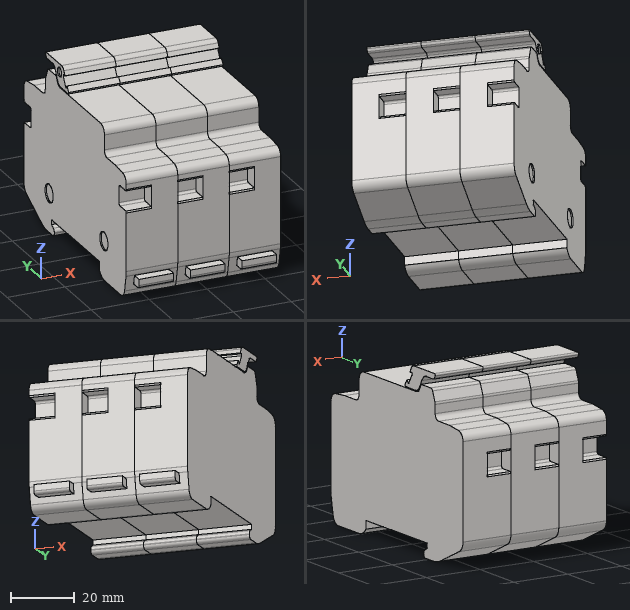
import cadquery as cq
import math


TOTAL_WIDTH = 53.4
POLE_COUNT = 3
POLE_WIDTH = TOTAL_WIDTH / POLE_COUNT

LATCH_REACH = 3.25
OVERALL_DEPTH = 81.2
HOUSING_DEPTH = OVERALL_DEPTH - LATCH_REACH
TOTAL_HEIGHT = 61.0
DECK_HEIGHT = 52.95
HUMP_TOP = 55.9
HUMP_BACK = 61.55
BACK_SHELF_HEIGHT = 46.0
BACK_SHELF_DROP = 0.9
FRONT_SHELF_HEIGHT = 42.95
FRONT_SHELF_DROP = 0.65
FRONT_WALL_DEPTH = 16.6

RAIL_TOP = 5.1
RAIL_FRONT = 20.6
RAIL_BACK = 56.7
HOOK_TIP = 54.65

SLOT_WIDTH = 8.8
SLOT_DEPTH = 5.5
SLOT_BOTTOM = 30.4
SLOT_TOP = 37.3
SLOT_CORNER_RADIUS = 0.8
SLOT_MOUTH_FLARE = 0.6
SLOT_MOUTH_DEPTH = 0.25

RIVET_DIAMETER = 6.2
RIVET_HEIGHT = 13.5
RIVET_PLACES = (17.0, 58.6)
LEVER_HOLE_DIAMETER = 3.2
LEVER_HOLE_Y = 50.75
LEVER_HOLE_Z = 58.1
RECESS_DEPTH = 0.5

LATCH_WIDTH = 11.9
LATCH_BOTTOM = 4.6
LATCH_TOP = 7.8
LATCH_ROOT = 2.4
LATCH_EDGE_RADIUS = 1.05

LEVER_GAP = 0.3
LEVER_BOTTOM = DECK_HEIGHT + LEVER_GAP
FLAP_THICKNESS = 1.95
FLAP_BOTTOM = TOTAL_HEIGHT - FLAP_THICKNESS
LEVER_NOTCH_HEIGHT = 58.5

HOUSING_CORNERS = [
    (HOUSING_DEPTH, BACK_SHELF_HEIGHT - BACK_SHELF_DROP, 3.1),
    (69.9, BACK_SHELF_HEIGHT, 0),
    (HUMP_BACK, BACK_SHELF_HEIGHT, 2.0),
    (HUMP_BACK, 51.5, 2.0),
    (59.7, HUMP_TOP, 1.2),
    (53.3, HUMP_TOP, 0),
    (51.7, DECK_HEIGHT, 2.85),
    (FRONT_WALL_DEPTH, DECK_HEIGHT, 2.9),
    (FRONT_WALL_DEPTH, FRONT_SHELF_HEIGHT, 1.95),
    (8.0, FRONT_SHELF_HEIGHT, 0),
    (0, FRONT_SHELF_HEIGHT - FRONT_SHELF_DROP, 2.9),
    (0, 8.85, 8.9),
    (1.8, 0, 3.2),
    (19.1, 0, 5.0),
    (RAIL_FRONT, 2.3, 0),
    (RAIL_FRONT, RAIL_TOP, 0),
    (RAIL_BACK, RAIL_TOP, 0),
    (RAIL_BACK, 3.5, 0),
    (HOOK_TIP, 2.35, 1.5),
    (HOOK_TIP, 0, 1.3),
    (62.5, 0, 9.75),
    (HOUSING_DEPTH, 7.4, 3.9),
]

LEVER_CORNERS = [
    (61.95, TOTAL_HEIGHT, 0.5),
    (48.0, TOTAL_HEIGHT, 2.0),
    (46.6, LEVER_NOTCH_HEIGHT, 0),
    (47.8, LEVER_NOTCH_HEIGHT, 0),
    (47.8, 57.8, 0),
    (45.8, 54.6, 0),
    (45.0, 55.6, 0),
    (43.7, 53.9, 0),
    (44.0, LEVER_BOTTOM, 0),
    (51.6, LEVER_BOTTOM, 2.85),
    (53.6, 57.2, 0),
    (55.2, FLAP_BOTTOM, 1.6),
    (60.8, FLAP_BOTTOM, 0.8),
]


def toward(start, end, distance):
    """Point at a given distance from start on the way to end."""
    share = distance / math.dist(start, end)
    return tuple(a + (b - a) * share for a, b in zip(start, end))


def half_angle(before, corner, after):
    """Half of the inner angle at a corner."""
    first = math.atan2(before[1] - corner[1], before[0] - corner[0])
    second = math.atan2(after[1] - corner[1], after[0] - corner[0])
    return math.acos(math.cos(first - second)) / 2


def rounded_prism(corners, width):
    """Solid of the given width along X whose YZ outline has rounded corners (Y, Z, radius)."""
    points = [corner[:2] for corner in corners]
    outline = None
    for index, (y, z, radius) in enumerate(corners):
        corner = (y, z)
        before = points[index - 1]
        after = points[(index + 1) % len(points)]
        half = half_angle(before, corner, after)
        trim = radius / math.tan(half)
        start = toward(corner, before, trim) if radius else corner
        outline = cq.Workplane("YZ").moveTo(*start) if outline is None else outline.lineTo(*start)
        if radius:
            end = toward(corner, after, trim)
            chord_middle = tuple((a + b) / 2 for a, b in zip(start, end))
            arc_middle = toward(corner, chord_middle, radius / math.sin(half) - radius)
            outline = outline.threePointArc(arc_middle, end)
    return outline.close().extrude(width)


def side_recess(y, z, diameter):
    """Shallow round recess in the -X side."""
    return cq.Workplane("YZ").center(y, z).circle(diameter / 2).extrude(RECESS_DEPTH)


def terminal_slot():
    """Terminal slot in the front face, open to the -X side, with a flared mouth."""
    corners = [
        (0, SLOT_BOTTOM - SLOT_MOUTH_FLARE, 0),
        (SLOT_MOUTH_DEPTH, SLOT_BOTTOM, 0),
        (SLOT_DEPTH, SLOT_BOTTOM, SLOT_CORNER_RADIUS),
        (SLOT_DEPTH, SLOT_TOP, SLOT_CORNER_RADIUS),
        (SLOT_MOUTH_DEPTH, SLOT_TOP, 0),
        (0, SLOT_TOP + SLOT_MOUTH_FLARE, 0),
    ]
    return rounded_prism(corners, SLOT_WIDTH)


def latch():
    """Rail latch tongue standing out of the front face, centred on its pole."""
    corners = [
        (-LATCH_REACH, LATCH_TOP, 0),
        (LATCH_ROOT, LATCH_TOP, 0),
        (LATCH_ROOT, LATCH_BOTTOM, 0),
        (-LATCH_REACH, LATCH_BOTTOM, LATCH_EDGE_RADIUS),
    ]
    return rounded_prism(corners, LATCH_WIDTH).translate(((POLE_WIDTH - LATCH_WIDTH) / 2, 0, 0))


def make_housing():
    """One housing with its latch tongue, terminal slots and rivet recesses."""
    housing = rounded_prism(HOUSING_CORNERS, POLE_WIDTH).union(latch())
    front_slot = terminal_slot()
    back_slot = front_slot.mirror("XZ").translate((0, HOUSING_DEPTH, 0))
    housing = housing.cut(front_slot).cut(back_slot)
    for y in RIVET_PLACES:
        housing = housing.cut(side_recess(y, RIVET_HEIGHT, RIVET_DIAMETER))
    return housing


def make_lever():
    """One lever, standing a small gap clear of its housing."""
    recess = side_recess(LEVER_HOLE_Y, LEVER_HOLE_Z, LEVER_HOLE_DIAMETER)
    return rounded_prism(LEVER_CORNERS, POLE_WIDTH).cut(recess)


bodies = []
for pole in range(POLE_COUNT):
    offset = (pole * POLE_WIDTH, 0, 0)
    bodies.append(make_housing().translate(offset).val())
    bodies.append(make_lever().translate(offset).val())

result = cq.Compound.makeCompound(bodies)